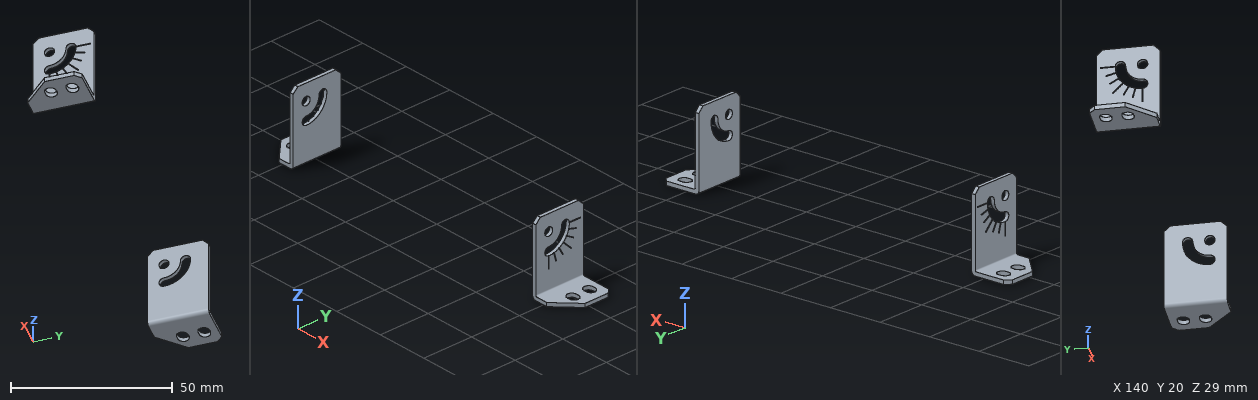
import cadquery as cq
import math

overall_length = 140.0
bracket_width = 20.0
bracket_height = 29.0
foot_length = 15.0
sheet = 1.5
outer_bend_radius = 1.4
inner_bend_radius = 0.5

tip_x = -overall_length / 2
upright_outer_x = tip_x + foot_length
upright_inner_x = upright_outer_x - sheet
front_y = -bracket_width / 2
back_y = bracket_width / 2

small_chamfer = 2.0
large_chamfer = 8.4

foot_slot_length = 4.6
foot_slot_width = 3.6
foot_slot_pitch = 7.0
foot_slot_from_tip = 5.7
foot_slot_from_back = 4.5

pivot_y = front_y + 5.5
pivot_z = bracket_height - 6.5
pivot_diameter = 3.2
arc_radius = 7.0
arc_slot_width = pivot_diameter
arc_sweep = 90.0

mark_step = 15.0
mark_count = round(arc_sweep / mark_step) + 1
long_mark_every = 3
long_mark_radius = 13.3
short_mark_radius = 11.9
mark_width = 0.2
mark_depth = 0.1


def polar(radius, angle):
    """(Y, Z) point about the pivot; the angle runs from +Y towards -Z."""
    turn = math.radians(angle)
    return pivot_y + radius * math.cos(turn), pivot_z - radius * math.sin(turn)


def bent_sheet():
    """L-shaped sheet with a rounded bend."""
    sheet_body = (
        cq.Workplane("XZ", origin=(0, back_y, 0))
        .moveTo(tip_x, 0)
        .lineTo(upright_outer_x, 0)
        .lineTo(upright_outer_x, bracket_height)
        .lineTo(upright_inner_x, bracket_height)
        .lineTo(upright_inner_x, sheet)
        .lineTo(tip_x, sheet)
        .close()
        .extrude(bracket_width)
    )
    outer_corner = cq.NearestToPointSelector((upright_outer_x, 0, 0))
    inner_corner = cq.NearestToPointSelector((upright_inner_x, 0, sheet))
    sheet_body = sheet_body.edges("|Y").edges(outer_corner).fillet(outer_bend_radius)
    return sheet_body.edges("|Y").edges(inner_corner).fillet(inner_bend_radius)


def cut_corners(body):
    """Chamfer the upright's top corners and the two corners of the foot tip."""
    body = body.faces(">Z").edges("|X").chamfer(small_chamfer)
    body = body.faces("<X").edges("|Z and >Y").chamfer(small_chamfer)
    return body.faces("<X").edges("|Z and <Y").chamfer(large_chamfer)


def foot_slots():
    slot_x = tip_x + foot_slot_from_tip
    rear_y = back_y - foot_slot_from_back
    return (
        cq.Workplane("XY")
        .pushPoints([(slot_x, rear_y), (slot_x, rear_y - foot_slot_pitch)])
        .slot2D(foot_slot_length, foot_slot_width)
        .extrude(sheet)
    )


def upright_plane():
    """Sketch plane on the upright's inner face: local axes Y and Z, extruding along +X."""
    return cq.Workplane("YZ", origin=(upright_inner_x, 0, 0))


def pivot_hole():
    return upright_plane().center(pivot_y, pivot_z).circle(pivot_diameter / 2).extrude(sheet)


def arc_slot():
    outer = arc_radius + arc_slot_width / 2
    inner = arc_radius - arc_slot_width / 2
    end_cap = arc_slot_width / 2
    middle = arc_sweep / 2
    end_y, end_z = polar(arc_radius, arc_sweep)
    start_y, start_z = polar(arc_radius, 0)
    return (
        upright_plane()
        .moveTo(*polar(outer, 0))
        .threePointArc(polar(outer, middle), polar(outer, arc_sweep))
        .threePointArc((end_y - end_cap, end_z), polar(inner, arc_sweep))
        .threePointArc(polar(inner, middle), polar(inner, 0))
        .threePointArc((start_y, start_z + end_cap), polar(outer, 0))
        .close()
        .extrude(sheet)
    )


def scale_mark(index):
    """Thin radial groove from the adjustment slot outwards."""
    angle = index * mark_step
    outer = long_mark_radius if index % long_mark_every == 0 else short_mark_radius
    mid_y, mid_z = polar((arc_radius + outer) / 2, angle)
    return (
        upright_plane()
        .center(mid_y, mid_z)
        .transformed(rotate=(0, 0, -angle))
        .rect(outer - arc_radius, mark_width)
        .extrude(mark_depth)
    )


def left_bracket():
    body = cut_corners(bent_sheet())
    body = body.cut(foot_slots()).cut(pivot_hole()).cut(arc_slot())
    for index in range(mark_count):
        body = body.cut(scale_mark(index))
    return body


def bracket(on_right):
    """One bracket; the right one mirrors the left one across X = 0."""
    body = left_bracket()
    return body.mirror("YZ") if on_right else body


brackets = [bracket(on_right).val() for on_right in (False, True)]

result = cq.Compound.makeCompound(brackets)